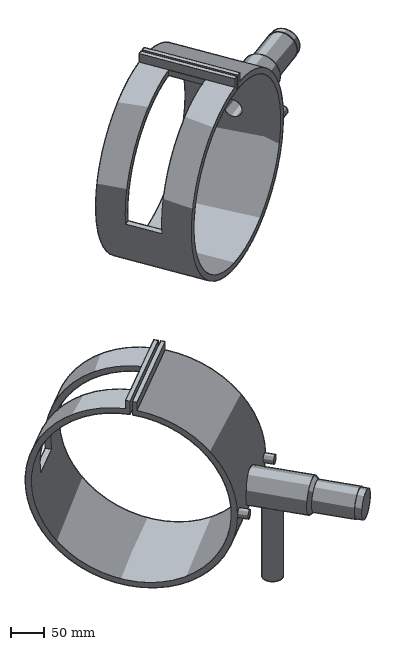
import cadquery as cq


ring_width = 160.0
ring_radius = 167.0
wall = 10.05
inner_radius = ring_radius - wall

split_gap = 3.5
lug_thickness = 7.0
lug_top = 182.5
lug_outer = split_gap / 2 + lug_thickness

window_width = 60.5
window_bottom = -18.5
window_back = -10.0

peg_diameter = 15.5
peg_end = 183.5
peg_offset = (ring_width - peg_diameter) / 2

bore_diameter = 31.0
spigot_diameter = 62.0
neck_diameter = 51.5
tip_diameter = 49.5
shoulder_start = 262.5
shoulder_end = 268.5
spigot_end = 347.0
tip_length = 11.5

side_pipe_diameter = 33.5
side_pipe_y = 200.0
side_pipe_bottom = -164.0


def cylinder_along_y(diameter, start, end, x=0):
    """Solid cylinder at height zero, running along +Y from start to end."""
    plane = cq.Plane(origin=(x, start, 0), xDir=(1, 0, 0), normal=(0, 1, 0))
    return cq.Workplane(plane).circle(diameter / 2).extrude(end - start)


def cylinder_along_x(radius):
    """Solid cylinder on the ring axis, as wide as the ring."""
    plane = cq.Plane(origin=(-ring_width / 2, 0, 0), xDir=(0, 0, 1), normal=(1, 0, 0))
    return cq.Workplane(plane).circle(radius).extrude(ring_width)


def block(width_x, y_min, y_max, z_min, z_max):
    """Box centred on X between the given Y and Z limits."""
    box = cq.Workplane("XY").box(width_x, y_max - y_min, z_max - z_min, centered=(True, False, False))
    return box.translate((0, y_min, z_min))


def make_ring():
    """Split ring with clamping lugs, window and locating pegs."""
    ring = cylinder_along_x(ring_radius)
    ring = ring.union(block(ring_width, -lug_outer, lug_outer, 0, lug_top))
    for side in (-1, 1):
        ring = ring.union(cylinder_along_y(peg_diameter, 0, peg_end, side * peg_offset))
    ring = ring.cut(cylinder_along_x(inner_radius))
    ring = ring.cut(block(ring_width, -split_gap / 2, split_gap / 2, 0, lug_top))
    return ring.cut(block(window_width, -ring_radius, window_back, window_bottom, ring_radius)).clean()


def make_spigot():
    """Stepped spigot, trimmed to sit on the outside of the ring."""
    profile = [
        (0, 0),
        (spigot_diameter / 2, 0),
        (spigot_diameter / 2, shoulder_start),
        (neck_diameter / 2, shoulder_end),
        (neck_diameter / 2, spigot_end - tip_length),
        (tip_diameter / 2, spigot_end - tip_length),
        (tip_diameter / 2, spigot_end),
        (0, spigot_end),
    ]
    spigot = cq.Workplane("XY").polyline(profile).close().revolve(360, (0, 0, 0), (0, 1, 0))
    return spigot.cut(cylinder_along_x(ring_radius))


def make_clamp():
    """Ring and spigot in one piece, with a blind bore from inside the ring up to the shoulder."""
    clamp = make_ring().union(make_spigot())
    return clamp.cut(cylinder_along_y(bore_diameter, 0, shoulder_start))


def make_side_pipe():
    """Round side pipe whose top is saddled to the underside of the spigot."""
    pipe = (
        cq.Workplane("XY", origin=(0, side_pipe_y, side_pipe_bottom))
        .circle(side_pipe_diameter / 2)
        .extrude(-side_pipe_bottom)
    )
    return pipe.cut(cylinder_along_y(spigot_diameter, 0, spigot_end))


clamp = make_clamp()
side_pipe = make_side_pipe()
result = cq.Compound.makeCompound([clamp.val(), side_pipe.val()])